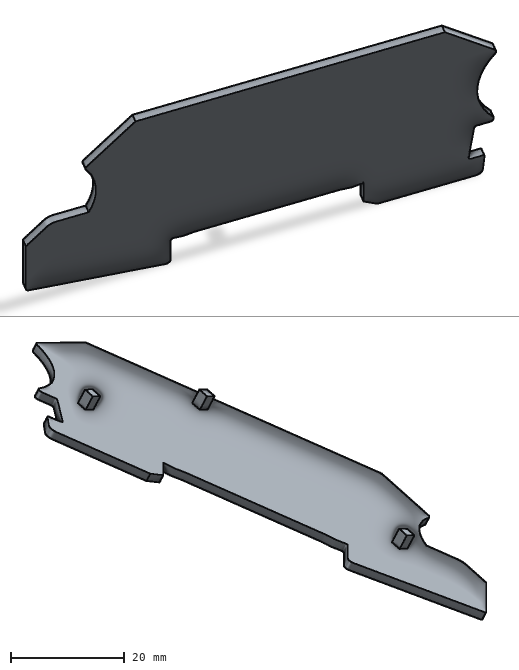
import cadquery as cq
import math

length = 87.7
height = 44.2
plate_thickness = 1.6

nose_shoulder_y = 20.4
heel_shoulder_y = length - 9.6

heel_bay_radius = 14.7
heel_bay_center = (99.0, 24.5)
heel_bay_top_z = 34.4
heel_bay_bottom_z = 14.4

nose_bay_radius = 13.0
nose_bay_deepest_y = 13.1
nose_bay_center = (nose_bay_deepest_y - nose_bay_radius, 27.55)
nose_bay_top_z = 34.7
nose_ledge_z = 21.8
nose_chamfer = 4.65

undercut_top_y = 83.7
undercut_bottom_y = 82.55
foot_top_z = 5.3
foot_top_y = 85.6
foot_sole_y = 85.2
foot_bevel_length = 2.55
foot_bevel_height = 1.8

recess_nose_y = 27.0
recess_heel_y = 63.0
recess_z = 7.2
ridge_drop = 0.3
ridge_peak_offset = 2.3
ridge_end_offset = 4.4

nose_low_z = 0.1
nose_high_z = 4.1

heel_tip_radius = 0.9
tip_radius = 0.8
undercut_radius = 0.5
foot_lip_radius = 0.35
foot_sole_radius = 1.5
ledge_radius = 2.6
recess_radius = 0.4
nose_low_radius = 1.0
nose_high_radius = 0.6

pin_diagonal = 3.0
pin_length = 2.9
lower_pin_z = 16.6
pin_centers = [
    (heel_shoulder_y, lower_pin_z),
    (55.9, 38.4),
    (16.9, lower_pin_z),
]


def bay_point(center, radius, side, z):
    """Point at height z on a bay circle, on its +Y (side=1) or -Y (side=-1) half."""
    return (center[0] + side * math.sqrt(radius**2 - (z - center[1]) ** 2), z)


heel_bay_top = bay_point(heel_bay_center, heel_bay_radius, -1, heel_bay_top_z)
heel_bay_deepest = (heel_bay_center[0] - heel_bay_radius, heel_bay_center[1])
heel_bay_bottom = bay_point(heel_bay_center, heel_bay_radius, -1, heel_bay_bottom_z)
nose_bay_top = bay_point(nose_bay_center, nose_bay_radius, 1, nose_bay_top_z)
nose_bay_deepest = (nose_bay_deepest_y, nose_bay_center[1])
nose_bay_bottom = bay_point(nose_bay_center, nose_bay_radius, 1, nose_ledge_z)

undercut_top = (undercut_top_y, heel_bay_bottom_z)
undercut_bottom = (undercut_bottom_y, foot_top_z)
foot_top = (foot_top_y, foot_top_z)
foot_sole = (foot_sole_y, 0)
recess_corner = (recess_nose_y, recess_z)
nose_low = (recess_nose_y, nose_low_z)
nose_high = (0, nose_high_z)
ledge_end = (nose_chamfer, nose_ledge_z)

corner_radii = [
    (heel_bay_top, heel_tip_radius),
    (heel_bay_bottom, tip_radius),
    (undercut_top, undercut_radius),
    (undercut_bottom, undercut_radius),
    (foot_top, foot_lip_radius),
    (foot_sole, foot_sole_radius),
    (recess_corner, recess_radius),
    (nose_low, nose_low_radius),
    (nose_high, nose_high_radius),
    (ledge_end, ledge_radius),
    (nose_bay_top, tip_radius),
]


def make_plate():
    """Flat plate with its corners rounded."""
    plate = (
        cq.Workplane("YZ")
        .moveTo(nose_shoulder_y, height)
        .lineTo(heel_shoulder_y, height)
        .lineTo(*heel_bay_top)
        .threePointArc(heel_bay_deepest, heel_bay_bottom)
        .lineTo(*undercut_top)
        .lineTo(*undercut_bottom)
        .lineTo(*foot_top)
        .lineTo(*foot_sole)
        .lineTo(recess_heel_y + foot_bevel_length, 0)
        .lineTo(recess_heel_y, foot_bevel_height)
        .lineTo(recess_heel_y, recess_z)
        .lineTo(recess_heel_y - ridge_peak_offset, recess_z - ridge_drop)
        .lineTo(recess_heel_y - ridge_end_offset, recess_z)
        .lineTo(recess_nose_y + ridge_end_offset, recess_z)
        .lineTo(recess_nose_y + ridge_peak_offset, recess_z - ridge_drop)
        .lineTo(*recess_corner)
        .lineTo(*nose_low)
        .lineTo(*nose_high)
        .lineTo(0, nose_ledge_z - nose_chamfer)
        .lineTo(*ledge_end)
        .lineTo(*nose_bay_bottom)
        .threePointArc(nose_bay_deepest, nose_bay_top)
        .close()
        .extrude(plate_thickness)
    )
    for (y, z), radius in corner_radii:
        corner = cq.selectors.NearestToPointSelector((plate_thickness / 2, y, z))
        plate = plate.edges("|X").edges(corner).fillet(radius)
    return plate


def make_pins():
    """Pins standing out from the X = 0 face."""
    return (
        cq.Workplane("YZ")
        .pushPoints(pin_centers)
        .polygon(4, pin_diagonal)
        .extrude(-pin_length)
    )


result = make_plate().union(make_pins())